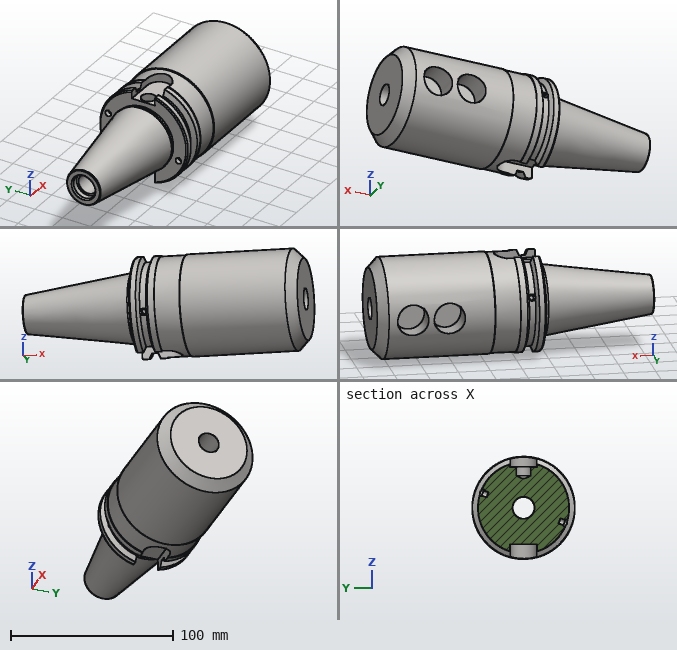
import cadquery as cq
import math

TOTAL_LENGTH = 176.2
TAPER_END = 68.2
FLANGE_START = 71.2
GROOVE_CENTER = 79.3
FLANGE_END = 87.2
BODY_START = 103.5

TAPER_SMALL_DIAMETER = 24.5
TAPER_LARGE_DIAMETER = 44.5
RELIEF_DIAMETER = 43.5
BODY_DIAMETER = 63.5
NECK_DIAMETER = 62.5
GROOVE_DIAMETER = 56.4

GROOVE_FLOOR_WIDTH = 3.9
GROOVE_OPENING_WIDTH = 7.4
TAPER_TIP_CHAMFER = 0.5
RELIEF_CHAMFER = 1.2
FLANGE_CHAMFER = 0.9
BODY_EDGE_CHAMFER = (BODY_DIAMETER - NECK_DIAMETER) / 2
NOSE_CHAMFER = 6.3

BORE_DIAMETER = 13.4
COUNTERBORE_DIAMETER = 16.2
COUNTERBORE_DEPTH = 5.3
MOUTH_DIAMETER = 17.3
MOUTH_DEPTH = 1.5

SLOT_WIDTH = 16.5
SLOT_TIP = 98.3
TOP_SLOT_FLOOR = 25.2
BOTTOM_SLOT_FLOOR = 22.5

DRIVE_HOLE_X = 77.4
DRIVE_HOLE_DIAMETER = 9.5
DRIVE_HOLE_WALL_DEPTH = 5.3
DRIVE_HOLE_POINT_ANGLE = 118.0

COOLANT_ANGLE = 20.0
COOLANT_PITCH_RADIUS = 27.0
COOLANT_INLET_DIAMETER = 4.0
COOLANT_INLET_DEPTH = 3.5
COOLANT_BORE_DIAMETER = 3.2
COOLANT_PORT_DIAMETER = 4.2
COOLANT_PORT_DEPTH = 1.4

SCREW_DIAMETER = 19.4
SCREW_STATIONS = (131.8, 154.7)
SCREW_DEPTH = 15.9


def make_body():
    """Taper, grooved flange, neck and cylindrical body turned about X."""
    tip_radius = TAPER_SMALL_DIAMETER / 2
    large_radius = TAPER_LARGE_DIAMETER / 2
    relief_radius = RELIEF_DIAMETER / 2
    body_radius = BODY_DIAMETER / 2
    neck_radius = NECK_DIAMETER / 2
    groove_radius = GROOVE_DIAMETER / 2
    half_floor = GROOVE_FLOOR_WIDTH / 2
    half_opening = GROOVE_OPENING_WIDTH / 2
    outline = [
        (0, 0),
        (0, tip_radius - TAPER_TIP_CHAMFER),
        (TAPER_TIP_CHAMFER, tip_radius),
        (TAPER_END, large_radius),
        (TAPER_END + RELIEF_CHAMFER, relief_radius),
        (FLANGE_START, relief_radius),
        (FLANGE_START, body_radius - FLANGE_CHAMFER),
        (FLANGE_START + FLANGE_CHAMFER, body_radius),
        (GROOVE_CENTER - half_opening, body_radius),
        (GROOVE_CENTER - half_floor, groove_radius),
        (GROOVE_CENTER + half_floor, groove_radius),
        (GROOVE_CENTER + half_opening, body_radius),
        (FLANGE_END, body_radius),
        (FLANGE_END, neck_radius),
        (BODY_START - BODY_EDGE_CHAMFER, neck_radius),
        (BODY_START, body_radius),
        (TOTAL_LENGTH - NOSE_CHAMFER, body_radius),
        (TOTAL_LENGTH, body_radius - NOSE_CHAMFER),
        (TOTAL_LENGTH, 0),
    ]
    profile = cq.Workplane("XY").polyline(outline).close()
    return profile.revolve(360, (0, 0, 0), (1, 0, 0))


def make_bore():
    """Through bore with a counterbore and a conical mouth at the taper tip."""
    outline = [
        (0, 0),
        (0, MOUTH_DIAMETER / 2),
        (MOUTH_DEPTH, COUNTERBORE_DIAMETER / 2),
        (COUNTERBORE_DEPTH, COUNTERBORE_DIAMETER / 2),
        (COUNTERBORE_DEPTH, BORE_DIAMETER / 2),
        (TOTAL_LENGTH, BORE_DIAMETER / 2),
        (TOTAL_LENGTH, 0),
    ]
    profile = cq.Workplane("XY").polyline(outline).close()
    return profile.revolve(360, (0, 0, 0), (1, 0, 0))


def make_drive_slot(floor, side):
    """Round-ended slot open to the flange face; side is +1 (top) or -1 (bottom)."""
    half_width = SLOT_WIDTH / 2
    arc_start = SLOT_TIP - half_width
    outline = (
        cq.Workplane("XY", origin=(0, 0, side * floor))
        .moveTo(FLANGE_START, -half_width)
        .lineTo(arc_start, -half_width)
        .threePointArc((SLOT_TIP, 0), (arc_start, half_width))
        .lineTo(FLANGE_START, half_width)
        .close()
    )
    return outline.extrude(side * (BODY_DIAMETER / 2 - floor))


def make_drive_hole():
    """Blind hole with a drill-point bottom in the top slot floor."""
    radius = DRIVE_HOLE_DIAMETER / 2
    point_depth = radius / math.tan(math.radians(DRIVE_HOLE_POINT_ANGLE / 2))
    down = cq.Vector(0, 0, -1)
    top = cq.Vector(DRIVE_HOLE_X, 0, TOP_SLOT_FLOOR)
    wall = cq.Solid.makeCylinder(radius, DRIVE_HOLE_WALL_DEPTH, top, down)
    cone = cq.Solid.makeCone(radius, 0, point_depth, top + down * DRIVE_HOLE_WALL_DEPTH, down)
    return cq.Workplane(wall).union(cq.Workplane(cone))


def make_coolant_passage(angle):
    """Axial bore from the flange face meeting a radial bore in the groove, both counterbored."""
    outward = cq.Vector(0, math.cos(math.radians(angle)), math.sin(math.radians(angle)))
    along_x = cq.Vector(1, 0, 0)
    face_point = outward * COOLANT_PITCH_RADIUS + along_x * FLANGE_START
    rim_point = outward * (BODY_DIAMETER / 2) + along_x * GROOVE_CENTER
    port_depth = (BODY_DIAMETER - GROOVE_DIAMETER) / 2 + COOLANT_PORT_DEPTH
    bore_depth = port_depth + COOLANT_BORE_DIAMETER
    drillings = (
        (COOLANT_INLET_DIAMETER, COOLANT_INLET_DEPTH, face_point, along_x),
        (COOLANT_BORE_DIAMETER, GROOVE_CENTER - FLANGE_START, face_point, along_x),
        (COOLANT_PORT_DIAMETER, port_depth, rim_point, outward * -1),
        (COOLANT_BORE_DIAMETER, bore_depth, rim_point, outward * -1),
    )
    passage = cq.Workplane("XY")
    for diameter, depth, start, direction in drillings:
        passage = passage.union(cq.Workplane(cq.Solid.makeCylinder(diameter / 2, depth, start, direction)))
    return passage


def make_screw_hole(station):
    """Blind radial hole entering from +Y."""
    hole = cq.Solid.makeCylinder(
        SCREW_DIAMETER / 2,
        SCREW_DEPTH,
        cq.Vector(station, BODY_DIAMETER / 2, 0),
        cq.Vector(0, -1, 0),
    )
    return cq.Workplane(hole)


result = make_body().cut(make_bore())
result = result.cut(make_drive_slot(TOP_SLOT_FLOOR, 1))
result = result.cut(make_drive_slot(BOTTOM_SLOT_FLOOR, -1))
result = result.cut(make_drive_hole())
for passage_angle in (COOLANT_ANGLE, COOLANT_ANGLE + 180):
    result = result.cut(make_coolant_passage(passage_angle))
for screw_station in SCREW_STATIONS:
    result = result.cut(make_screw_hole(screw_station))